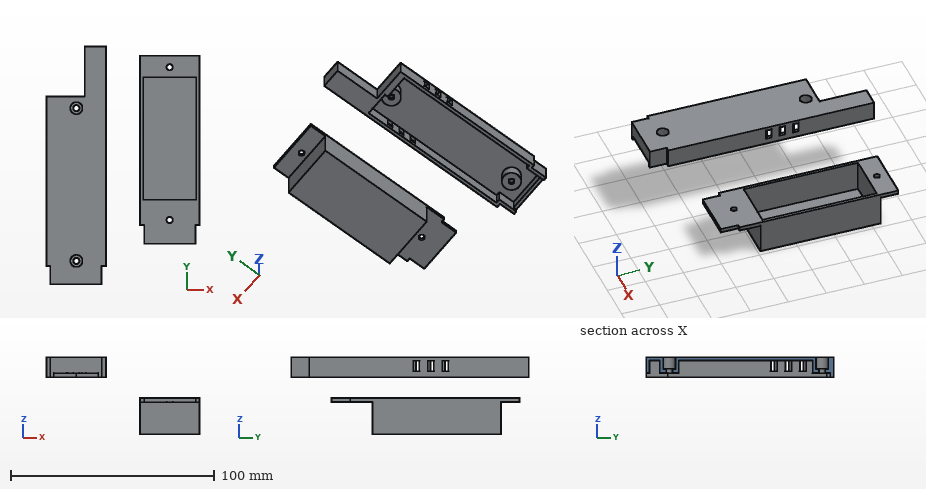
import cadquery as cq

overall_width = 75.2
overall_length = 117
body_width = 29.4
body_length = 83.4
tongue_width = 25.4
hole_setback = 2.6
hole_spacing = 75.1
hole_diameter = 2.9

cover_height = 10.0
cover_tongue_length = 8.9
cover_tongue_offset = 1.8
cover_wall = 1.8
cover_roof = 1.8
arm_width = 10.6
arm_length = overall_length - cover_tongue_length - body_length
notch_height = 2.1
end_block_length = 1.8
counterbore_diameter = 6.0
counterbore_depth = 5.8
boss_diameter = counterbore_diameter + 2 * cover_wall

slot_count = 3
slot_pitch = 7.1
slot_width = 2.9
slot_height = 5.0
slot_bottom = 3.0
slot_shift = 1.5
first_slot_y = 60.0

tray_x = overall_width - body_width
tray_height = 18.0
overall_height = 38.0
tray_bottom = cover_height - overall_height
tray_front_y = 19.9
tray_tongue_length = 9.1
tray_tongue_offset = 2.1
flange_thickness = 2.1
tray_box_setback = 20.1
tray_box_length = 63.3
tray_wall = 1.6
tray_floor = 1.8


def block(x, y, z, width, length, height):
    """Axis-aligned box placed by its lowest corner."""
    return cq.Workplane("XY").box(width, length, height, centered=False).translate((x, y, z))


def screw_points(x, shoulder_y):
    """Centres of the two screw holes of a plate whose shoulder is at shoulder_y."""
    center_x = x + body_width / 2
    first_y = shoulder_y + hole_setback
    return [(center_x, first_y), (center_x, first_y + hole_spacing)]


def cylinders(points, diameter, bottom, top):
    """Vertical cylinders between two heights."""
    plane = cq.Workplane("XY", origin=(0, 0, bottom))
    return plane.pushPoints(points).circle(diameter / 2).extrude(top - bottom)


def make_cover_outside():
    tongue = block(cover_tongue_offset, 0, 0, tongue_width, cover_tongue_length, cover_height)
    main = block(0, cover_tongue_length, 0, body_width, body_length, cover_height)
    arm_y = cover_tongue_length + body_length
    arm = block(body_width - arm_width, arm_y, 0, arm_width, arm_length, cover_height)
    return tongue.union(main).union(arm)


def make_cover_cavity():
    """Hollow of the cover, with a notch in front and a solid block at its back left."""
    inner_height = cover_height - cover_roof
    inner_x = cover_tongue_offset + cover_wall
    inner_tongue_width = tongue_width - 2 * cover_wall
    main_y = cover_tongue_length + cover_wall
    main_length = body_length - 2 * cover_wall
    tongue = block(inner_x, cover_wall, 0, inner_tongue_width, main_y - cover_wall, inner_height)
    main = block(cover_wall, main_y, 0, body_width - 2 * cover_wall, main_length, inner_height)
    notch = block(inner_x, 0, 0, inner_tongue_width, main_y, notch_height)
    end_block_y = main_y + main_length - end_block_length
    end_block = block(0, end_block_y, 0, body_width / 2, end_block_length, inner_height)
    return tongue.union(main).union(notch).cut(end_block)


def make_slot(y):
    """Left-wall slot that drifts towards +Y as it goes inwards."""
    outline = [
        (0, y),
        (cover_wall, y + slot_shift),
        (cover_wall, y + slot_shift + slot_width),
        (0, y + slot_width),
    ]
    return cq.Workplane("XY", origin=(0, 0, slot_bottom)).polyline(outline).close().extrude(slot_height)


def make_cover():
    points = screw_points(0, cover_tongue_length)
    bosses = cylinders(points, boss_diameter, notch_height, cover_height)
    cavity = make_cover_cavity().cut(bosses)
    cover = make_cover_outside().cut(cavity)
    cover = cover.cut(cylinders(points, hole_diameter, 0, cover_height))
    counterbore_floor = cover_height - counterbore_depth
    cover = cover.cut(cylinders(points, counterbore_diameter, counterbore_floor, cover_height))
    middle = (body_width / 2, 0, 0)
    for index in range(slot_count):
        slot = make_slot(first_slot_y + index * slot_pitch)
        cover = cover.cut(slot).cut(slot.mirror("YZ", middle))
    return cover


def make_tray():
    top = tray_bottom + tray_height
    flange_z = top - flange_thickness
    shoulder_y = tray_front_y + tray_tongue_length
    box_y = tray_front_y + tray_box_setback
    tongue_x = tray_x + tray_tongue_offset
    tongue = block(tongue_x, tray_front_y, flange_z, tongue_width, tray_tongue_length, flange_thickness)
    flange = block(tray_x, shoulder_y, flange_z, body_width, body_length, flange_thickness)
    box = block(tray_x, box_y, tray_bottom, body_width, tray_box_length, tray_height)
    pocket = block(
        tray_x + tray_wall,
        box_y + tray_wall,
        tray_bottom + tray_floor,
        body_width - 2 * tray_wall,
        tray_box_length - 2 * tray_wall,
        tray_height - tray_floor,
    )
    holes = cylinders(screw_points(tray_x, shoulder_y), hole_diameter, flange_z, top)
    return tongue.union(flange).union(box).cut(pocket).cut(holes)


cover = make_cover()
tray = make_tray()
result = cq.Compound.makeCompound([cover.val(), tray.val()])